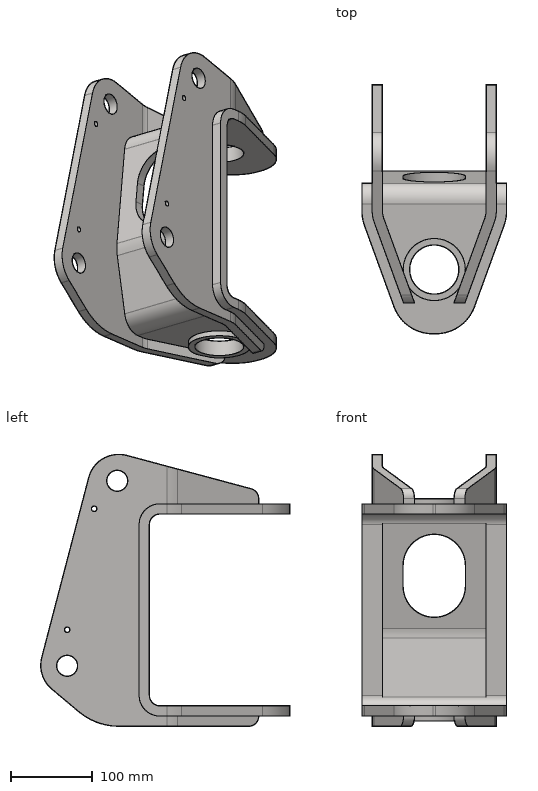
import cadquery as cq
import math


plate = 12.7
channel_width = 177.8
inner_gap = 234.95
outer_bend = 25.4
inner_bend = outer_bend - plate
half_gap = inner_gap / 2
half_height = half_gap + plate
web_front = 93.2
web_rear = web_front + plate
arm_tip = -79.0
tip_radius = 50.8
taper_angle = math.radians(20)
taper_start = 71.6

bore_diameter = 60.0
ring_diameter = 76.2
ring_height = 6.35

side_inner = 63.5
side_outer = side_inner + plate
side_bend_inner = 25.4
side_bend_outer = side_bend_inner + plate
side_setback = 38.1
side_front = arm_tip + side_setback
side_bottom = -half_height - plate
bend_center_x = side_outer - side_bend_outer
edge_radius = channel_width / 2 - bend_center_x

upper_hole = (132.8, 158.5)
lower_hole = (194.25, -68.5)
mount_diameter = 25.4
lobe_radius = 38.1
upper_lobe = (131.0, 152.9)
lower_lobe = (188.65, -67.9)
small_holes = [(161.1, 124.1), (194.2, -24.3)]
small_diameter = 6.35
top_slope = math.radians(15)
bottom_slope = math.radians(40)
heel_radius = 76.2
nose_radius = 12.7

upper_overlap = 1.0
lower_overlap = 2.0
back_depth = 15.5
back_bend_z = -28.5
back_bend_radius = 38.1
slot_width = 76.2
slot_length = 101.6
slot_center_z = 41.9


def rounded_outline(workplane, corners):
    """Closed outline through (u, v, radius) corners, rounding those with a radius."""
    segments = []
    for i, (u, v, radius) in enumerate(corners):
        corner = cq.Vector(u, v)
        if radius == 0:
            segments.append([corner])
            continue
        before = cq.Vector(*corners[i - 1][:2])
        after = cq.Vector(*corners[(i + 1) % len(corners)][:2])
        to_before = (before - corner).normalized()
        to_after = (after - corner).normalized()
        half_angle = to_before.getAngle(to_after) / 2
        setback = radius / math.tan(half_angle)
        bulge = radius / math.sin(half_angle) - radius
        middle = corner + (to_before + to_after).normalized() * bulge
        segments.append([corner + to_before * setback, middle, corner + to_after * setback])
    outline = workplane.moveTo(*segments[0][-1].toTuple()[:2])
    for segment in segments[1:] + segments[:1]:
        outline = outline.lineTo(*segment[0].toTuple()[:2])
        if len(segment) > 1:
            outline = outline.threePointArc(segment[1].toTuple()[:2], segment[2].toTuple()[:2])
    return outline.close()


def extrude_across(corners, half_width):
    """Extrude a (Y, Z, radius) outline along X, symmetric about X = 0."""
    return rounded_outline(cq.Workplane("YZ"), corners).extrude(half_width, both=True)


def line_crossing(point_a, angle_a, point_b, angle_b):
    """Crossing of two lines, each given by a point and a direction angle."""
    gap_u = point_b[0] - point_a[0]
    gap_v = point_b[1] - point_a[1]
    travel = gap_u * math.sin(angle_b) - gap_v * math.cos(angle_b)
    travel /= math.sin(angle_b - angle_a)
    return (point_a[0] + travel * math.cos(angle_a), point_a[1] + travel * math.sin(angle_a))


def point_on_circle(center, radius, angle):
    """Point on a circle at an angle from the first axis."""
    return (center[0] + radius * math.cos(angle), center[1] + radius * math.sin(angle))


def channel_block(front, rear, half_z, radius):
    """Block as wide as the channel, rounded on its two rear edges."""
    corners = [(front, -half_z, 0), (rear, -half_z, radius), (rear, half_z, radius), (front, half_z, 0)]
    return extrude_across(corners, channel_width / 2)


def make_channel():
    """Bent channel with both arms tapered to a rounded tip."""
    body = channel_block(arm_tip, web_rear, half_height, outer_bend)
    body = body.cut(channel_inside())
    half_width = channel_width / 2
    taper_corner_y = taper_start - edge_radius * math.tan(taper_angle / 2)
    tip_half = half_width - (taper_corner_y - arm_tip) * math.tan(taper_angle)
    plan = [
        (-half_width, web_rear, 0),
        (-half_width, taper_corner_y, edge_radius),
        (-tip_half, arm_tip, tip_radius),
        (tip_half, arm_tip, tip_radius),
        (half_width, taper_corner_y, edge_radius),
        (half_width, web_rear, 0),
    ]
    return body.intersect(rounded_outline(cq.Workplane("XY"), plan).extrude(half_height, both=True))


def channel_inside():
    """Space between the arms, in front of the web."""
    return channel_block(arm_tip, web_front, half_gap, inner_bend)


def make_side_plates():
    """Two side plates with rear lobes around the mounting holes and a nose along each arm."""
    quarter = math.pi / 2
    rear_angle = math.atan2(upper_lobe[1] - lower_lobe[1], upper_lobe[0] - lower_lobe[0])
    rear_point = point_on_circle(lower_lobe, lobe_radius, rear_angle - quarter)
    top_point = point_on_circle(upper_lobe, lobe_radius, quarter + top_slope)
    heel_point = point_on_circle(lower_lobe, lobe_radius, bottom_slope - quarter)
    nose_top = line_crossing(top_point, top_slope, (side_front, 0), quarter)
    upper_corner = line_crossing(top_point, top_slope, rear_point, rear_angle)
    lower_corner = line_crossing(heel_point, bottom_slope, rear_point, rear_angle)
    heel_corner = line_crossing(heel_point, bottom_slope, (0, side_bottom), 0)
    outline = [
        (side_front, side_bottom, nose_radius),
        (*heel_corner, heel_radius),
        (*lower_corner, lobe_radius),
        (*upper_corner, lobe_radius),
        (*nose_top, nose_radius),
    ]
    body = extrude_across(outline, channel_width / 2)

    for centers, diameter in (([upper_hole, lower_hole], mount_diameter), (small_holes, small_diameter)):
        holes = cq.Workplane("YZ").pushPoints(centers).circle(diameter / 2)
        body = body.cut(holes.extrude(channel_width, both=True))
    return body.intersect(side_plan()).cut(channel_inside())


def side_plan():
    """Both side plates in plan, bent inward at the front, taller than the part."""
    rear = lower_hole[0] + 2 * lobe_radius
    run = taper_start - arm_tip
    shift = run * math.tan(taper_angle)
    corner_setback = math.tan(taper_angle / 2)
    inner_corner_y = taper_start - side_bend_inner * corner_setback
    outer_corner_y = taper_start - side_bend_outer * corner_setback
    plan = [
        (side_inner, rear, 0),
        (side_inner, inner_corner_y, side_bend_inner),
        (side_inner - shift, inner_corner_y - run, 0),
        (side_outer - shift, outer_corner_y - run, 0),
        (side_outer, outer_corner_y, side_bend_outer),
        (side_outer, rear, 0),
    ]
    strip = rounded_outline(cq.Workplane("XY"), plan).extrude(2 * half_height, both=True)
    return strip.union(strip.mirror("YZ"))


def point_on_inner_bend(overlap):
    """Point (Y, Z) of the upper inner bend, at a height above its start on the web."""
    rise = inner_bend - math.sqrt(inner_bend**2 - overlap**2)
    return web_front - rise, half_gap - inner_bend + overlap


def back_front_corners():
    """Front face of the bent back plate as (Y, Z): upper end, bend corner, lower end."""
    upper = point_on_inner_bend(upper_overlap)
    lower_y, lower_height = point_on_inner_bend(lower_overlap)
    return upper, (web_front + back_depth, back_bend_z), (lower_y, -lower_height)


def make_window():
    """Opening through the web, in front of the bent back plate."""
    upper, bend, lower = back_front_corners()
    return extrude_across([(*bend, back_bend_radius), (*upper, 0), (*lower, 0)], side_inner)


def make_back_plate():
    """Bent plate that leaves the web plane at both ends and bulges rearward."""
    upper, bend, lower = back_front_corners()
    upper_tilt = math.atan2(bend[0] - upper[0], upper[1] - bend[1])
    lower_tilt = math.atan2(bend[0] - lower[0], bend[1] - lower[1])
    upper_rear = point_on_circle(upper, plate, upper_tilt)
    lower_rear = point_on_circle(lower, plate, -lower_tilt)
    quarter = math.pi / 2
    bend_rear = line_crossing(upper_rear, quarter + upper_tilt, lower_rear, quarter - lower_tilt)
    profile = [
        (*upper, 0),
        (*upper_rear, 0),
        (*bend_rear, back_bend_radius + plate),
        (*lower_rear, 0),
        (*lower, 0),
        (*bend, back_bend_radius),
    ]
    return extrude_across(profile, side_inner)


def make_slot():
    """Upright slot through the back plate, open to the front and rear."""
    slot = cq.Workplane("XZ").center(0, slot_center_z).slot2D(slot_length, slot_width, 90)
    return slot.extrude(-2 * web_rear)


def make_rings():
    """Raised rings on the outer faces of both arms."""
    ring = cq.Workplane("XY").workplane(offset=half_gap).circle(ring_diameter / 2).extrude(plate + ring_height)
    return ring.union(ring.mirror("XY"))


def make_bores():
    """Pin bore through both arms and their rings."""
    return cq.Workplane("XY").circle(bore_diameter / 2).extrude(2 * half_height, both=True)


result = make_channel().cut(make_window())
result = result.union(make_back_plate()).cut(make_slot())
result = result.union(make_side_plates()).union(make_rings()).cut(make_bores())